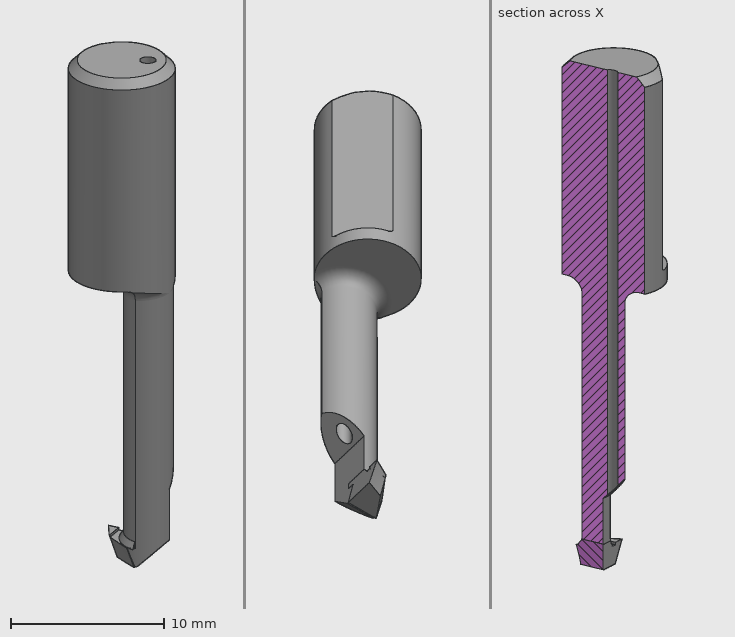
import cadquery as cq

LENGTH = 35.0
SHANK_RADIUS = 3.5
SHANK_BOTTOM = 19.95
TOP_CHAMFER = 0.6

FLAT_DISTANCE = 2.87
FLAT_BOTTOM = 21.05
FLAT_FILLET = 0.2
FLAT_ANGLE = 135.0

COOLANT_X = 1.55
COOLANT_Y = 0.75
COOLANT_RADIUS = 0.52

NECK_LEFT = 0.4
NECK_FRONT_RADIUS = 2.25
NECK_BACK_RADIUS = 2.38
FLARE_RADIUS = 0.95
RELIEF_BOTTOM = 5.0
END_CHAMFER_HEIGHT = 1.35
END_CHAMFER_WIDTH = 1.33

TIP_HEIGHT = 1.5
TIP_TOP_CORNERS = [(-0.98, 0), (-0.28, -1.3), (1.5, -2.4), (1.5, 0)]
TIP_BOTTOM_CORNERS = [(-0.18, 0), (0.3, -1.3), (2.05, -2.3), (2.05, 0)]
NOSE_WIDTH = 0.77
TIP_STEP_HEIGHT = 1.33
COLLAR_HEIGHT = 0.45
COLLAR_FLARE = 0.28
COLLAR_RIGHT = 2.03


def box_between(low, high):
    """Axis-aligned box given by two opposite corners."""
    size = [b - a for a, b in zip(low, high)]
    return cq.Workplane("XY").box(*size, centered=False).translate(low)


def shank():
    body = (
        cq.Workplane("XY", origin=(0, 0, SHANK_BOTTOM))
        .circle(SHANK_RADIUS)
        .extrude(LENGTH - SHANK_BOTTOM)
    )
    body = body.faces(">Z").chamfer(TOP_CHAMFER)
    flat_cut = box_between(
        (FLAT_DISTANCE, -SHANK_RADIUS, FLAT_BOTTOM),
        (2 * SHANK_RADIUS, SHANK_RADIUS, LENGTH),
    )
    flat_cut = flat_cut.edges("<X and <Z").fillet(FLAT_FILLET)
    return body.cut(flat_cut.rotate((0, 0, 0), (0, 0, 1), FLAT_ANGLE))


def flared_bar(center_x, radius):
    """Round bar whose top end widens into the shank with a concave fillet."""
    fillet_height = SHANK_BOTTOM - FLARE_RADIUS
    diagonal = FLARE_RADIUS * 0.5 ** 0.5
    profile = (
        cq.Workplane("XZ")
        .lineTo(radius, 0)
        .lineTo(radius, fillet_height)
        .threePointArc(
            (radius + FLARE_RADIUS - diagonal, fillet_height + diagonal),
            (radius + FLARE_RADIUS, SHANK_BOTTOM),
        )
        .lineTo(0, SHANK_BOTTOM)
        .close()
    )
    return profile.revolve(360, (0, 0, 0), (0, 1, 0)).translate((center_x, 0, 0))


def neck():
    envelope = cq.Workplane("XY").circle(SHANK_RADIUS).extrude(SHANK_BOTTOM)
    front_bar = flared_bar(NECK_LEFT + NECK_FRONT_RADIUS, NECK_FRONT_RADIUS)
    back_bar = flared_bar(SHANK_RADIUS - NECK_BACK_RADIUS, NECK_BACK_RADIUS)
    seat_bottom_x = TIP_BOTTOM_CORNERS[-1][0]
    seat_lean = (seat_bottom_x - TIP_TOP_CORNERS[-1][0]) / TIP_HEIGHT
    tip_backing = (
        cq.Workplane("XZ")
        .polyline([
            (seat_bottom_x, 0),
            (SHANK_RADIUS, 0),
            (SHANK_RADIUS, TIP_STEP_HEIGHT),
            (seat_bottom_x - seat_lean * TIP_STEP_HEIGHT, TIP_STEP_HEIGHT),
        ])
        .close()
        .extrude(SHANK_RADIUS)
    )
    front_bar = front_bar.union(tip_backing)
    body = envelope.intersect(front_bar).intersect(back_bar)

    relief = (
        cq.Workplane("YZ")
        .polyline([
            (0, 0),
            (0, RELIEF_BOTTOM),
            (SHANK_RADIUS, RELIEF_BOTTOM + SHANK_RADIUS),
            (SHANK_RADIUS, 0),
        ])
        .close()
        .extrude(SHANK_RADIUS, both=True)
    )
    end_chamfer = (
        cq.Workplane("XZ")
        .polyline([
            (SHANK_RADIUS - END_CHAMFER_WIDTH, 0),
            (SHANK_RADIUS, 0),
            (SHANK_RADIUS, END_CHAMFER_HEIGHT),
        ])
        .close()
        .extrude(SHANK_RADIUS, both=True)
    )
    return body.cut(relief).cut(end_chamfer)


def tip_collar(base_height):
    """Tapered ring segment that leads from the tip up to the neck."""
    cone = cq.Workplane("XY").add(cq.Solid.makeCone(
        NECK_FRONT_RADIUS + COLLAR_FLARE,
        NECK_FRONT_RADIUS,
        COLLAR_HEIGHT,
        pnt=cq.Vector(NECK_LEFT + NECK_FRONT_RADIUS, 0, base_height),
    ))
    keep = box_between(
        (NECK_LEFT - COLLAR_FLARE, -SHANK_RADIUS, base_height),
        (COLLAR_RIGHT, 0, base_height + COLLAR_HEIGHT),
    )
    return cone.intersect(keep)


def cutting_tip():
    body = (
        cq.Workplane("XY")
        .polyline(TIP_BOTTOM_CORNERS).close()
        .workplane(offset=TIP_HEIGHT)
        .polyline(TIP_TOP_CORNERS).close()
        .loft(ruled=True)
    )
    nose_right = TIP_TOP_CORNERS[0][0] + NOSE_WIDTH
    step = box_between(
        (nose_right, -SHANK_RADIUS, TIP_STEP_HEIGHT),
        (SHANK_RADIUS, SHANK_RADIUS, TIP_HEIGHT),
    )
    return body.cut(step).union(tip_collar(TIP_STEP_HEIGHT))


def holder(tip):
    """Shank and neck in one piece, with a seat that matches the tip."""
    coolant_hole = cq.Workplane("XY").center(COOLANT_X, COOLANT_Y).circle(COOLANT_RADIUS).extrude(LENGTH)
    return shank().union(neck()).cut(coolant_hole).cut(tip)


tip_body = cutting_tip()
holder_body = holder(tip_body)
result = cq.Compound.makeCompound([holder_body.solids().val(), tip_body.solids().val()])